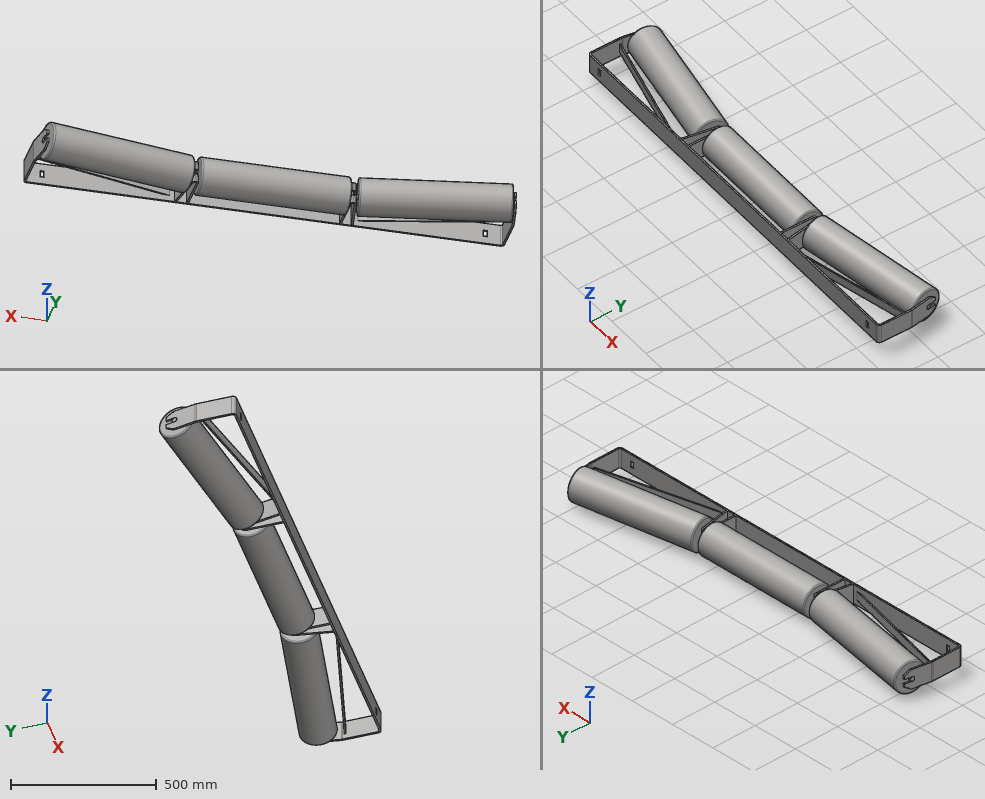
import cadquery as cq
import math


frame_length = 1700.0
strip_width = 80.0
sheet = 7.0
corner_bend_radius = 14.0
slant_bend_radius = 29.0
trough_angle = 10.0
lean = math.tan(math.radians(trough_angle))

end_plate_height = 255.0
end_bend_height = 143.0
tip_taper_length = 27.0
tip_taper_depth = 17.0

bracket_height = 153.0
bracket_inner_face = 267.0
bracket_foot = 316.0
bracket_bend_radius = 10.0

brace_thickness = 6.0
brace_width = 35.0
brace_top_height = 135.0
brace_foot = 333.0

mount_slot_x = 784.0
mount_slot_length = 24.0
mount_slot_width = 14.0

roller_diameter = 133.0
roller_length = 530.0
rim_radius = 5.0
axle_diameter = 19.0
axle_length = 555.0
middle_roller_y = 125.0
outer_roller_x = 563.0
outer_roller_y = 175.0
slot_overrun = 5.0
roller_places = [
    (-outer_roller_x, outer_roller_y, -trough_angle),
    (0, middle_roller_y, 0),
    (outer_roller_x, outer_roller_y, trough_angle),
]


def across_strip(outline, width):
    """Extrude a closed XY outline to a width centred on Z = 0."""
    return cq.Workplane("XY").polyline(outline).close().extrude(width / 2, both=True)


def round_bends(body, corners, radius):
    """Round the edges along Z that stand at the given XY corners."""
    for x, y in corners:
        reach = sheet / 4
        corner = cq.selectors.BoxSelector(
            (x - reach, y - reach, -strip_width),
            (x + reach, y + reach, strip_width),
        )
        body = body.edges("|Z").edges(corner).fillet(radius)
    return body


def mirrored(points):
    """The points mirrored in the YZ plane, in reverse order."""
    return [(-x, y) for x, y in reversed(points)]


def both_sides(body):
    """The body and its mirror image in the YZ plane."""
    return body.union(body.mirror("YZ"))


def along_axis(diameter, length):
    """Cylinder along X, centred on the origin."""
    return cq.Workplane("YZ", origin=(-length / 2, 0, 0)).circle(diameter / 2).extrude(length)


def place(body, roller_place):
    """Tilt a body about Z and move it from the origin to a roller's centre."""
    x, y, angle = roller_place
    return body.rotate((0, 0, 0), (0, 0, 1), angle).translate((x, y, 0))


def base_and_end_plates():
    half = frame_length / 2
    slant = sheet / math.cos(math.radians(trough_angle))
    inner_bend_height = end_bend_height - sheet * math.tan(math.radians(trough_angle / 2))
    tip_x = half - (end_plate_height - end_bend_height) * lean
    outer = [(half, 0), (half, end_bend_height), (tip_x, end_plate_height)]
    inner = [(tip_x - slant, end_plate_height), (half - sheet, inner_bend_height), (half - sheet, sheet)]
    right_side = outer + inner
    body = across_strip(right_side + mirrored(right_side), strip_width)
    for side in (1, -1):
        outer_x = side * half
        inner_x = side * (half - sheet)
        body = round_bends(body, [(outer_x, 0)], corner_bend_radius)
        body = round_bends(body, [(inner_x, sheet)], corner_bend_radius - sheet)
        body = round_bends(body, [(outer_x, end_bend_height)], slant_bend_radius)
        body = round_bends(body, [(inner_x, inner_bend_height)], slant_bend_radius - sheet)
    return body


def tip_tapers():
    """Cutters for the two tapered corners of the right end plate."""
    half_width = strip_width / 2
    taper = (
        cq.Workplane("YZ", origin=(frame_length / 2, 0, 0))
        .moveTo(end_plate_height, half_width)
        .lineTo(end_plate_height - tip_taper_length, half_width)
        .lineTo(end_plate_height, half_width - tip_taper_depth)
        .close()
        .extrude(-frame_length / 2)
    )
    return taper.union(taper.mirror("XY"))


def bracket():
    """Right bracket: an upright leg, a bridge and a leaning leg."""
    slant = sheet / math.cos(math.radians(trough_angle))
    inner_height = bracket_height - sheet
    leg_x = bracket_inner_face + sheet
    outer_corners = [
        (bracket_inner_face, bracket_height),
        (bracket_foot - inner_height * lean, bracket_height),
    ]
    inner_corners = [
        (bracket_foot - slant - (inner_height - sheet) * lean, inner_height),
        (leg_x, inner_height),
    ]
    outline = [
        (bracket_inner_face, sheet),
        *outer_corners,
        (bracket_foot, sheet),
        (bracket_foot - slant, sheet),
        *inner_corners,
        (leg_x, sheet),
    ]
    body = across_strip(outline, strip_width)
    body = round_bends(body, outer_corners, bracket_bend_radius)
    return round_bends(body, inner_corners, bracket_bend_radius - sheet)


def brace():
    """Right brace: a flat bar from the base strip up to the end plate."""
    wall = frame_length / 2 - sheet
    slope = math.atan2(brace_top_height - sheet, wall - brace_foot)
    outline = [
        (brace_foot, sheet),
        (wall, brace_top_height),
        (wall, brace_top_height - brace_thickness / math.cos(slope)),
        (brace_foot + brace_thickness / math.sin(slope), sheet),
    ]
    return across_strip(outline, brace_width)


def mounting_slot():
    slot = cq.Workplane("XZ").center(mount_slot_x, 0).rect(mount_slot_width, mount_slot_length)
    return slot.extrude(-sheet)


def axle_slots():
    """Cutter for the two slots that hold an axle, round below it and open above it."""
    length = axle_length + 2 * slot_overrun
    slot = along_axis(axle_diameter, length)
    throat = cq.Workplane("XY").box(length, end_plate_height, axle_diameter, centered=(True, False, True))
    return slot.union(throat)


def make_frame():
    body = base_and_end_plates()
    body = body.union(both_sides(bracket())).union(both_sides(brace()))
    body = body.cut(both_sides(tip_tapers())).cut(both_sides(mounting_slot()))
    for roller_place in roller_places:
        body = body.cut(place(axle_slots(), roller_place))
    return body


def make_roller(roller_place):
    """Roller with a rounded rim at both ends, in one piece with its axle."""
    shell = along_axis(roller_diameter, roller_length).edges("%CIRCLE").fillet(rim_radius)
    axle = along_axis(axle_diameter, axle_length)
    return place(shell.union(axle), roller_place)


frame = make_frame()
rollers = [make_roller(roller_place) for roller_place in roller_places]

result = cq.Compound.makeCompound([frame.val(), *[roller.val() for roller in rollers]])